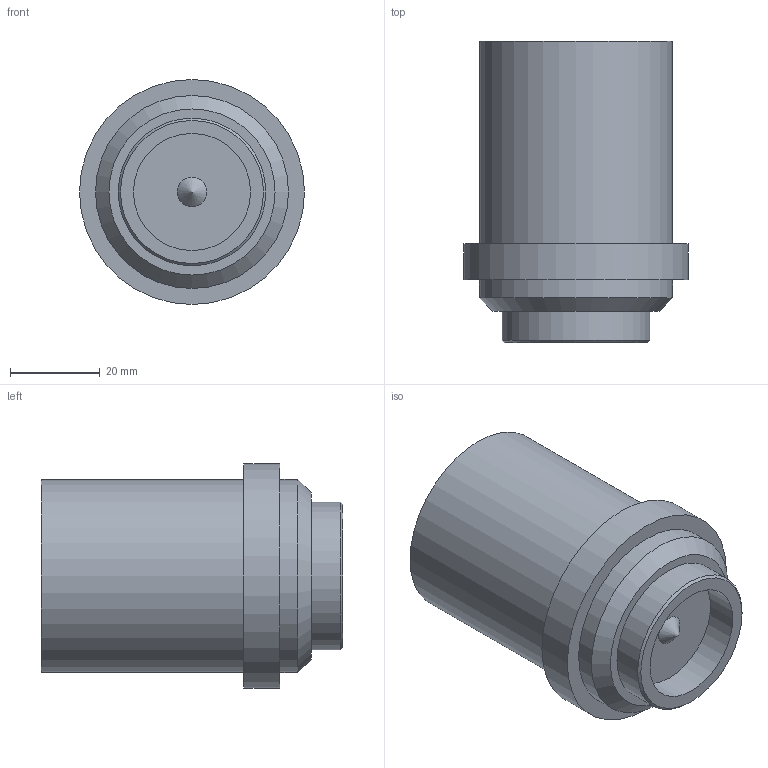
import cadquery as cq

body_diameter = 42.9
flange_diameter = 50.0
nose_diameter = 32.8
bore_diameter = 26.0
pin_diameter = 6.6

nose_length = 7.0
shoulder_length = 7.0
flange_length = 8.0
rear_length = 45.0

nose_chamfer = 0.5
shoulder_chamfer = 3.0
bore_depth = 7.0
pin_tip_depth = 4.0

body_radius = body_diameter / 2
flange_radius = flange_diameter / 2
nose_radius = nose_diameter / 2
bore_radius = bore_diameter / 2
pin_radius = pin_diameter / 2

shoulder_y = nose_length
flange_front_y = shoulder_y + shoulder_length
flange_rear_y = flange_front_y + flange_length
rear_y = flange_rear_y + rear_length


def revolve_about_axis(profile):
    """Turn a closed profile of (Y, radius) points about the Y axis."""
    return cq.Workplane("YZ").polyline(profile).close().revolve(360, (0, 0, 0), (1, 0, 0))


def outer_body():
    """Chamfered nose, chamfered shoulder, flange and rear barrel."""
    return revolve_about_axis([
        (0, 0),
        (0, nose_radius - nose_chamfer),
        (nose_chamfer, nose_radius),
        (shoulder_y, nose_radius),
        (shoulder_y, body_radius - shoulder_chamfer),
        (shoulder_y + shoulder_chamfer, body_radius),
        (flange_front_y, body_radius),
        (flange_front_y, flange_radius),
        (flange_rear_y, flange_radius),
        (flange_rear_y, body_radius),
        (rear_y, body_radius),
        (rear_y, 0),
    ])


def nose_bore():
    """Blind bore in the nose, leaving a conical pin standing on its floor."""
    return revolve_about_axis([
        (0, 0),
        (0, bore_radius),
        (bore_depth, bore_radius),
        (bore_depth, pin_radius),
        (pin_tip_depth, 0),
    ])


result = outer_body().cut(nose_bore())